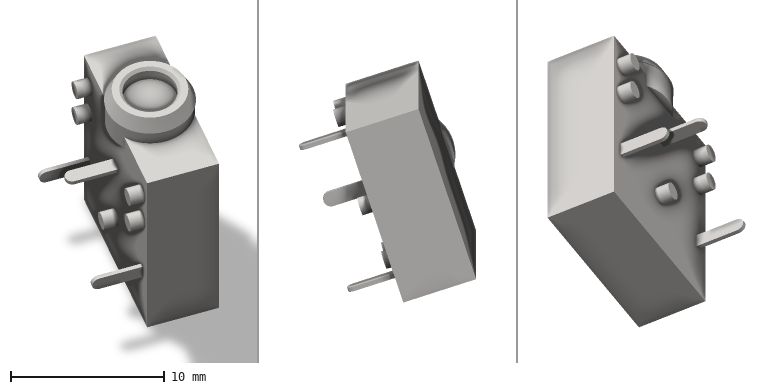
import cadquery as cq

housing_width = 12.0
housing_depth = 5.0
housing_height = 14.0

collar_diameter = 5.9
collar_taper_diameter = 6.0
collar_rim_diameter = 5.0
collar_axis_y = 2.4
collar_height = 2.0
collar_embed = 1.0
collar_taper_height = 1.0

bore_diameter = 3.6
bore_depth = 1.0
bore_chamfer = 0.2

post_diameter = 1.2
post_length = 1.0

pin_length = 3.5
pin_width = 1.0
pin_thickness = 0.3

side_offset = 5.0
upper_row_z = 12.0
middle_row_z = 9.5
lower_row_z = 4.5

post_positions = [
    (-side_offset, upper_row_z),
    (side_offset, upper_row_z),
    (-side_offset, middle_row_z),
    (side_offset, middle_row_z),
    (0, lower_row_z),
]

collar_top_z = housing_height + collar_height
collar_bottom_z = housing_height - collar_embed


def make_housing():
    return cq.Workplane("XY").box(
        housing_width, housing_depth, housing_height, centered=(True, False, False)
    )


def make_collar():
    """Cylinder topped by a slightly wider cone that tapers to the rim."""
    radius = collar_diameter / 2
    taper_radius = collar_taper_diameter / 2
    rim_radius = collar_rim_diameter / 2
    taper_start_z = collar_top_z - collar_taper_height
    return (
        cq.Workplane("XZ", origin=(0, collar_axis_y, 0))
        .moveTo(0, collar_bottom_z)
        .lineTo(radius, collar_bottom_z)
        .lineTo(radius, taper_start_z)
        .lineTo(taper_radius, taper_start_z)
        .lineTo(rim_radius, collar_top_z)
        .lineTo(0, collar_top_z)
        .close()
        .revolve(360, (0, 0, 0), (0, 1, 0))
    )


def make_bore():
    """Blind plug opening with a chamfered mouth, as a cutting solid."""
    return (
        cq.Workplane("XY", origin=(0, collar_axis_y, collar_top_z))
        .circle(bore_diameter / 2)
        .extrude(-bore_depth)
        .union(make_bore_mouth())
    )


def make_bore_mouth():
    """Cone that widens the top of the plug opening."""
    return (
        cq.Workplane("XY", origin=(0, collar_axis_y, collar_top_z))
        .circle(bore_diameter / 2 + bore_chamfer)
        .workplane(offset=-bore_chamfer)
        .circle(bore_diameter / 2)
        .loft()
    )


def make_posts():
    """Round posts standing out from the front face toward -Y."""
    return (
        cq.Workplane("XZ")
        .pushPoints(post_positions)
        .circle(post_diameter / 2)
        .extrude(post_length)
    )


def make_pin(x, z, upright):
    """Flat pin with a round tip; its width lies along Z if upright, else along X."""
    half_width = pin_width / 2
    straight_length = pin_length - half_width
    pin = (
        cq.Workplane("XY")
        .moveTo(-half_width, 0)
        .lineTo(-half_width, -straight_length)
        .threePointArc((0, -pin_length), (half_width, -straight_length))
        .lineTo(half_width, 0)
        .close()
        .extrude(pin_thickness / 2, both=True)
    )
    if upright:
        pin = pin.rotate((0, 0, 0), (0, 1, 0), 90)
    return pin.translate((x, 0, z))


result = make_housing().union(make_collar()).cut(make_bore()).union(make_posts())
result = result.union(make_pin(0, middle_row_z, upright=False))
for pin_x in (-side_offset, side_offset):
    result = result.union(make_pin(pin_x, lower_row_z, upright=True))